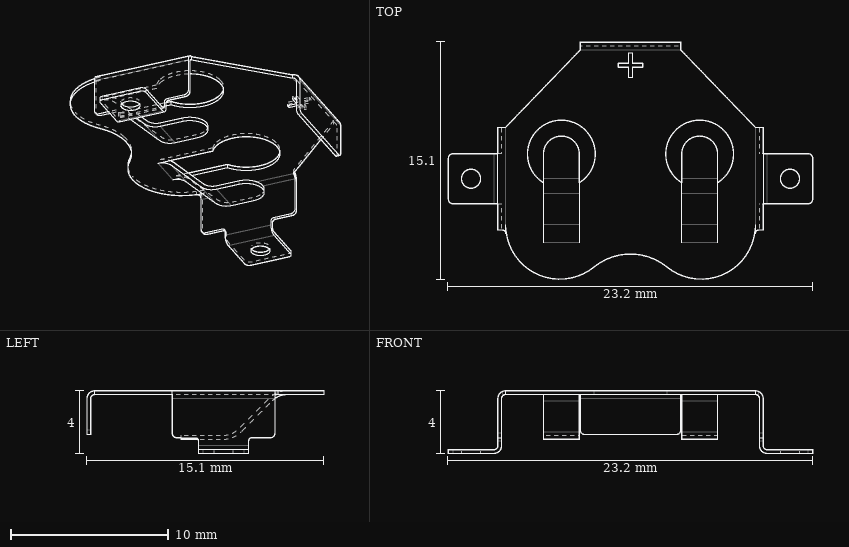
import cadquery as cq
import math

thickness = 0.25
height = 4.0
length_x = 23.2
back_y = 8.7
front_y = -6.4
inner_bend = 0.25
mid_bend = inner_bend + thickness / 2
outer_bend = inner_bend + thickness
mid_plane_z = height - thickness / 2

leg_outer_x = 8.45
leg_width = 6.55
leg_shoulder_z = 1.0
leg_corner_radius = 0.3
shoulder_fillet = 0.2
lobe_corner_fillet = 0.2
tab_width = 3.2
tab_corner_radius = 0.3
tab_hole_diameter = 1.2
tab_hole_x = 10.15
plate_side_x = leg_outer_x - outer_bend

flange_width = 6.4
flange_depth = 2.8
flange_corner_radius = 0.3
plate_back_y = back_y - outer_bend

lobe_radius = 3.45
lobe_x = plate_side_x - lobe_radius
lobe_y = front_y + lobe_radius
hollow_top_y = -4.8

tongue_x = 4.4
tongue_width = 2.3
tongue_root_y = -4.05
tongue_tip_center_y = 1.57
tongue_drop = 2.85
tongue_angle = 45
tongue_inner_bend = 1.35
keyhole_diameter = 4.3

plus_y = 7.22
plus_size = 1.53
plus_stroke = 0.25


def bent_strip(plane, start, steps, width):
    """Sheet strip of the given width whose middle line starts along the plane's first axis.

    Each step is (length, 0) for a straight or (middle radius, signed angle in degrees) for a bend.
    """
    def offset_point(point, heading, offset):
        return (point[0] - offset * math.sin(heading), point[1] + offset * math.cos(heading))

    def move(point, heading, size, turn):
        if turn == 0:
            return (point[0] + size * math.cos(heading), point[1] + size * math.sin(heading))
        signed_radius = math.copysign(size, turn)
        center = offset_point(point, heading, signed_radius)
        return offset_point(center, heading + turn, -signed_radius)

    half = thickness / 2
    stations = [(start, 0.0)]
    middles = []
    for size, angle in steps:
        point, heading = stations[-1]
        turn = math.radians(angle)
        middles.append((move(point, heading, size, turn / 2), heading + turn / 2))
        stations.append((move(point, heading, size, turn), heading + turn))

    profile = cq.Workplane(plane).moveTo(*offset_point(*stations[0], half))
    for index, (_, angle) in enumerate(steps):
        target = offset_point(*stations[index + 1], half)
        if angle:
            profile = profile.threePointArc(offset_point(*middles[index], half), target)
        else:
            profile = profile.lineTo(*target)
    profile = profile.lineTo(*offset_point(*stations[-1], -half))
    for index in reversed(range(len(steps))):
        target = offset_point(*stations[index], -half)
        if steps[index][1]:
            profile = profile.threePointArc(offset_point(*middles[index], -half), target)
        else:
            profile = profile.lineTo(*target)
    return profile.close().extrude(width / 2, both=True)


def make_plate():
    """Flat top plate: chamfered back corners, two round front lobes and a tangent hollow."""
    rise = hollow_top_y - lobe_y
    hollow_radius = (lobe_x**2 + rise**2 - lobe_radius**2) / (2 * (lobe_radius + rise))
    hollow_y = hollow_top_y - hollow_radius
    blend = hollow_radius / (hollow_radius + lobe_radius)
    joint_x = lobe_x * blend
    joint_y = hollow_y + (lobe_y - hollow_y) * blend
    half_flange = flange_width / 2
    half_leg = leg_width / 2
    return (
        cq.Workplane("XY", origin=(0, 0, height - thickness))
        .moveTo(-half_flange, plate_back_y)
        .lineTo(half_flange, plate_back_y)
        .lineTo(plate_side_x, half_leg)
        .lineTo(plate_side_x, lobe_y)
        .threePointArc((lobe_x, front_y), (joint_x, joint_y))
        .threePointArc((0, hollow_top_y), (-joint_x, joint_y))
        .threePointArc((-lobe_x, front_y), (-plate_side_x, lobe_y))
        .lineTo(-plate_side_x, half_leg)
        .close()
        .extrude(thickness)
    )


def make_leg():
    """Right-hand leg: bent down from the plate, then out into a narrower solder tab."""
    wall = height - 2 * outer_bend
    tab_bend_end_x = leg_outer_x + inner_bend
    tab_straight = length_x / 2 - tab_bend_end_x
    steps = [(mid_bend, -90), (wall, 0), (mid_bend, 90), (tab_straight, 0)]
    strip = bent_strip("XZ", (plate_side_x, mid_plane_z), steps, leg_width)

    outline = (
        cq.Workplane("YZ")
        .rect(leg_width, height - leg_shoulder_z)
        .extrude(length_x)
        .translate((0, 0, (height + leg_shoulder_z) / 2))
        .edges("|X and <Z")
        .fillet(leg_corner_radius)
    )
    tab_outline = cq.Workplane("XY").box(length_x, tab_width, height, centered=(False, True, False))
    outline = outline.union(tab_outline)
    shoulder = cq.selectors.BoxSelector(
        (0, -tab_width / 2 - shoulder_fillet, leg_shoulder_z - shoulder_fillet),
        (length_x, tab_width / 2 + shoulder_fillet, leg_shoulder_z + shoulder_fillet),
    )
    outline = outline.edges("|X").edges(shoulder).fillet(shoulder_fillet)

    leg = strip.intersect(outline).edges("|Z and >X").fillet(tab_corner_radius)
    hole = cq.Workplane("XY").center(tab_hole_x, 0).circle(tab_hole_diameter / 2).extrude(outer_bend)
    return leg.cut(hole)


def make_lobe_corner():
    """Small concave fillet joining the front end of the right-hand bend to the lobe."""
    bend_width = leg_width + 2 * lobe_corner_fillet
    bend = bent_strip("XZ", (plate_side_x, mid_plane_z), [(mid_bend, -90)], bend_width)
    corner_y = -leg_width / 2
    sweep = lobe_corner_fillet * (1 - math.sqrt(0.5))
    fillet = (
        cq.Workplane("XY")
        .moveTo(plate_side_x, corner_y)
        .lineTo(plate_side_x + lobe_corner_fillet, corner_y)
        .threePointArc(
            (plate_side_x + sweep, corner_y - sweep),
            (plate_side_x, corner_y - lobe_corner_fillet),
        )
        .close()
        .extrude(height)
    )
    return bend.intersect(fillet)


def make_back_flange():
    """Flange bent straight down from the back edge of the plate."""
    steps = [(mid_bend, -90), (flange_depth - outer_bend, 0)]
    flange = bent_strip("YZ", (plate_back_y, mid_plane_z), steps, flange_width)
    return flange.edges("|Y and <Z").fillet(flange_corner_radius)


def make_tongue():
    """Contact tongue on X = 0: slopes down from its root and ends in a flat round tip."""
    bend = tongue_inner_bend + thickness / 2
    slope = math.radians(tongue_angle)
    bend_drop = 2 * bend * (1 - math.cos(slope))
    ramp = (tongue_drop - bend_drop) / math.sin(slope)
    ramp_end_y = tongue_root_y + 2 * bend * math.sin(slope) + ramp * math.cos(slope)
    tip_end_y = tongue_tip_center_y + tongue_width / 2
    steps = [(bend, -tongue_angle), (ramp, 0), (bend, tongue_angle), (tip_end_y - ramp_end_y, 0)]
    strip = bent_strip("YZ", (tongue_root_y, mid_plane_z), steps, tongue_width)
    return strip.intersect(round_ended_column(tongue_width))


def round_ended_column(round_diameter):
    """Full-height column: tongue-wide from the root to the tip centre, with a round end."""
    straight = tongue_tip_center_y - tongue_root_y
    column = cq.Workplane("XY", origin=(0, tongue_root_y, 0)).box(
        tongue_width, straight, height, centered=(True, False, False)
    )
    round_end = cq.Workplane("XY").center(0, tongue_tip_center_y).circle(round_diameter / 2).extrude(height)
    return column.union(round_end)


def make_plus():
    """Plus-shaped cut-out through the plate."""
    upright = cq.Workplane("XY").center(0, plus_y).rect(plus_stroke, plus_size).extrude(height)
    crossbar = cq.Workplane("XY").center(0, plus_y).rect(plus_size, plus_stroke).extrude(height)
    return upright.union(crossbar)


plate = make_plate().cut(make_plus())
tongue = make_tongue()
keyhole = round_ended_column(keyhole_diameter)
for x in (-tongue_x, tongue_x):
    plate = plate.cut(keyhole.translate((x, 0, 0)))
    plate = plate.union(tongue.translate((x, 0, 0)))

leg = make_leg().union(make_lobe_corner())
result = plate.union(make_back_flange()).union(leg).union(leg.mirror("YZ"))